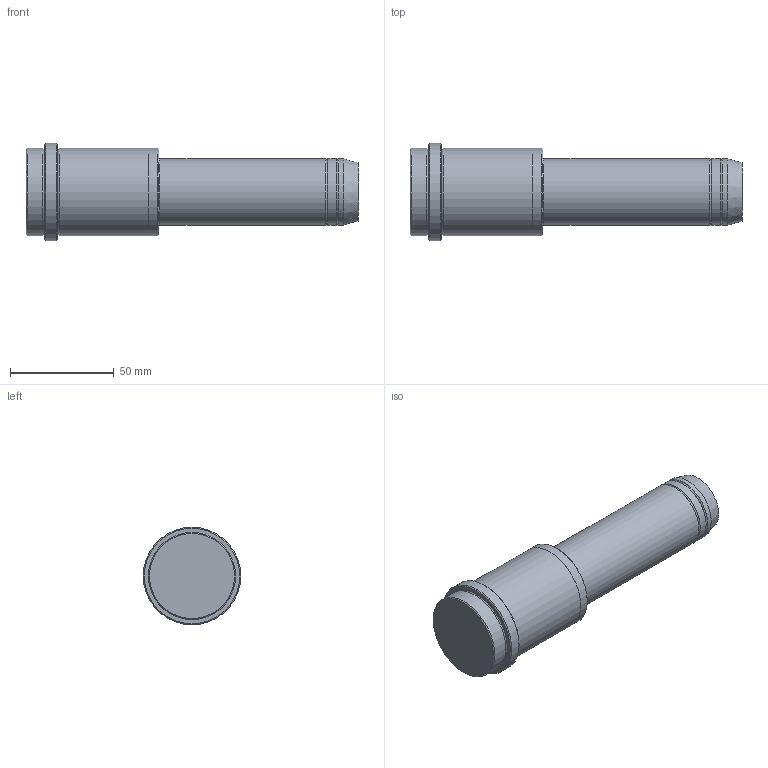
import cadquery as cq
import math

total_length = 160.0

shank_diameter = 42.0
shank_length = 64.0
collar_diameter = 47.0
collar_start = 9.0
collar_width = 6.0
edge_chamfer = 0.5

lead_length = 5.0
lead_diameter = 41.98

pin_diameter = 32.0
pin_foot_fillet = 0.5
tip_length = 7.0
tip_taper_angle = 15.0
tip_start = total_length - tip_length
tip_depth = tip_length * math.tan(math.radians(tip_taper_angle))

groove_radius = 0.5
collar_groove_centers = (collar_start - groove_radius, collar_start + collar_width + groove_radius)
tip_to_groove = 3.0
last_pin_groove_center = tip_start - tip_to_groove
pin_groove_spacing = 5.0
pin_groove_centers = (last_pin_groove_center - pin_groove_spacing, last_pin_groove_center)


def cylinder(start, length, diameter):
    """Solid cylinder on the X axis."""
    return cq.Workplane("YZ").workplane(offset=start).circle(diameter / 2).extrude(length)


def cone(start, length, diameter, depth):
    """Cone frustum on the X axis whose radius shrinks by depth toward +X."""
    radius = diameter / 2
    end = start + length
    profile = [(start, 0), (start, radius), (end, radius - depth), (end, 0)]
    return cq.Workplane("XY").polyline(profile).close().revolve(360, (0, 0, 0), (1, 0, 0))


def cut_grooves(body, centers, diameter):
    """Cut a half-round groove around the given diameter at each axial center."""
    for center in centers:
        section = cq.Workplane("XY").center(center, diameter / 2).circle(groove_radius)
        body = body.cut(section.revolve(360, (0, -diameter / 2, 0), (1, -diameter / 2, 0)))
    return body


def make_shank():
    """Shank with chamfered ends, a slimmer lead and a groove on each side of the collar."""
    lead_start = shank_length - lead_length
    main = cylinder(0, lead_start, shank_diameter).faces("<X").chamfer(edge_chamfer)
    lead = cylinder(lead_start, lead_length, lead_diameter).faces(">X").chamfer(edge_chamfer)
    return cut_grooves(main.union(lead), collar_groove_centers, shank_diameter)


def make_collar():
    """Locating collar with both rims chamfered."""
    return cylinder(collar_start, collar_width, collar_diameter).edges().chamfer(edge_chamfer)


def make_pin():
    """Slender pin with two grooves near its conical tip."""
    pin = cylinder(shank_length, tip_start - shank_length, pin_diameter)
    pin = pin.union(cone(tip_start, tip_length, pin_diameter, tip_depth))
    return cut_grooves(pin, pin_groove_centers, pin_diameter)


def make_pin_foot():
    """Concave fillet ring where the pin meets the end face of the shank."""
    pin_radius = pin_diameter / 2
    mid_offset = pin_foot_fillet * (1 - math.sqrt(0.5))
    profile = (
        cq.Workplane("XY")
        .moveTo(shank_length, pin_radius - pin_foot_fillet)
        .lineTo(shank_length, pin_radius + pin_foot_fillet)
        .threePointArc(
            (shank_length + mid_offset, pin_radius + mid_offset),
            (shank_length + pin_foot_fillet, pin_radius),
        )
        .lineTo(shank_length + pin_foot_fillet, pin_radius - pin_foot_fillet)
        .close()
    )
    return profile.revolve(360, (0, 0, 0), (1, 0, 0))


result = make_shank().union(make_collar()).union(make_pin()).union(make_pin_foot())